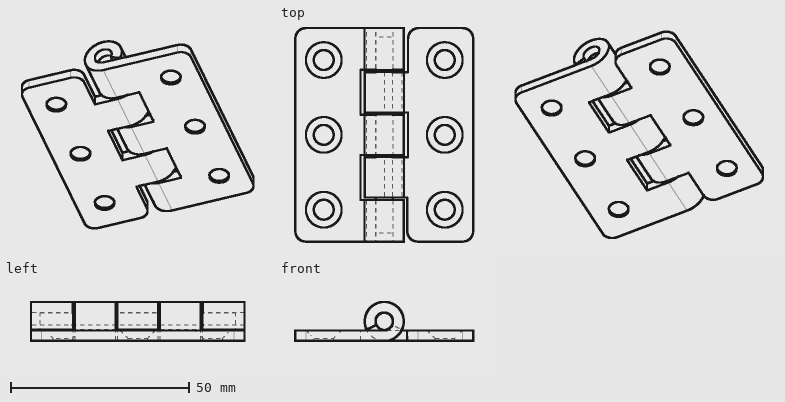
import cadquery as cq
import math

LEFT = -1
RIGHT = 1

length = 60.0
width = 50.0
leaf_thickness = 3.0
corner_radius = 3.0

knuckle_radius = 5.5
bore_radius = knuckle_radius - leaf_thickness
pin_radius = 2.4
slit_angle = 25.0
pin_recess = 2.5
pin_span = (pin_recess - length / 2, length / 2 - pin_recess)

outer_knuckle_start = 18.25
middle_knuckle_half = 5.7
right_knuckle_inner = 6.25
right_knuckle_outer = 17.65
left_knuckles = [
    (-length / 2, -outer_knuckle_start),
    (-middle_knuckle_half, middle_knuckle_half),
    (outer_knuckle_start, length / 2),
]
right_knuckles = [
    (-right_knuckle_outer, -right_knuckle_inner),
    (right_knuckle_inner, right_knuckle_outer),
]
notch_edge = 6.65
front_notch_edge = 6.4

hole_x = 17.0
hole_pitch = 21.0
hole_diameter = 5.5
countersink_diameter = 10.0
countersink_angle = 90.0


def block(x_range, y_range):
    """Block of leaf thickness over the given X and Y ranges."""
    x_size = x_range[1] - x_range[0]
    y_size = y_range[1] - y_range[0]
    return cq.Workplane("XY").box(x_size, y_size, leaf_thickness, centered=False).translate(
        (x_range[0], y_range[0], 0)
    )


def rolled_knuckle(y_range, side):
    """Plate strip rolled up into a tube; side is LEFT or RIGHT."""
    angle = math.radians(slit_angle)
    end_x = side * math.cos(angle)
    end_z = -math.sin(angle)
    roll = (
        cq.Workplane("XZ", origin=(0, y_range[1], knuckle_radius))
        .moveTo(0, -knuckle_radius)
        .threePointArc((-side * knuckle_radius, 0), (knuckle_radius * end_x, knuckle_radius * end_z))
        .lineTo(bore_radius * end_x, bore_radius * end_z)
        .threePointArc((-side * bore_radius, 0), (0, -bore_radius))
        .close()
        .extrude(y_range[1] - y_range[0])
    )
    strip_x = sorted((0, side * notch_edge))
    return roll.union(block(strip_x, y_range))


def cut_screw_holes(plate, side):
    """Three countersunk holes in a row along the leaf."""
    centers = [(side * hole_x, row * hole_pitch) for row in (-1, 0, 1)]
    return (
        plate.faces(">Z")
        .workplane(origin=(0, 0, leaf_thickness))
        .pushPoints(centers)
        .cskHole(hole_diameter, countersink_diameter, countersink_angle)
    )


def make_left_leaf():
    """Left leaf: notched plate with three knuckles."""
    plate = block((-width / 2, -notch_edge), (-length / 2, length / 2))
    plate = plate.edges("|Z and <X").fillet(corner_radius)
    leaf = cut_screw_holes(plate, LEFT)
    for knuckle in left_knuckles:
        leaf = leaf.union(rolled_knuckle(knuckle, LEFT))
    return leaf


def axis_cylinder(y_range, radius):
    """Solid cylinder on the knuckle axis over the given Y range."""
    return (
        cq.Workplane("XZ", origin=(0, y_range[1], knuckle_radius))
        .circle(radius)
        .extrude(y_range[1] - y_range[0])
    )


def make_right_leaf():
    """Right leaf: notched plate with two knuckles, in one piece with the pin."""
    plate = block((notch_edge, width / 2), (-length / 2, length / 2))
    front_strip = block((front_notch_edge, width / 2), (-length / 2, -right_knuckle_outer))
    plate = plate.union(front_strip)
    plate = plate.edges("|Z and (<Y or >Y)").fillet(corner_radius)
    leaf = cut_screw_holes(plate, RIGHT)
    for knuckle in right_knuckles:
        leaf = leaf.union(rolled_knuckle(knuckle, RIGHT))
        leaf = leaf.union(axis_cylinder(knuckle, bore_radius))
    return leaf.union(axis_cylinder(pin_span, pin_radius))


left_leaf = make_left_leaf()
right_leaf = make_right_leaf()

result = cq.Compound.makeCompound([left_leaf.solids().val(), right_leaf.solids().val()])